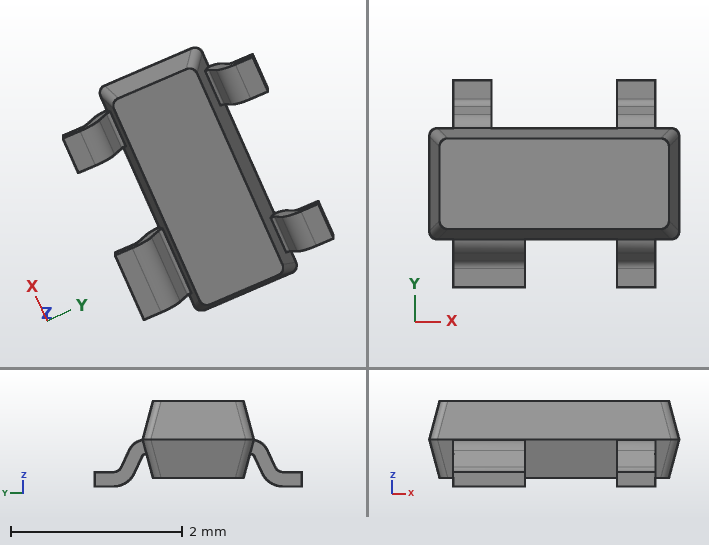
import cadquery as cq
import math

BODY_LENGTH = 2.92
BODY_WIDTH = 1.30
BODY_BOTTOM = 0.10
PARTING_HEIGHT = 0.55
BODY_TOP = 1.00
DRAFT_ANGLE = 15.0
CORNER_RADIUS = 0.10

LEAD_SPAN = 2.42
LEAD_THICKNESS = 0.17
FOOT_LENGTH = 0.22
BEND_ANGLE = 65.0
FOOT_BEND_RADIUS = 0.10
SHOULDER_BEND_RADIUS = 0.05
LEAD_EMBED_Y = 0.40
NARROW_LEAD = 0.45
WIDE_LEAD = 0.84
LEAD_OUTER_X = 1.18

LEFT, RIGHT = -1, 1
FRONT, BACK = -1, 1


def body_half(outer_height):
    """Tapered half running from the parting plane to its flat outer face."""
    depth = outer_height - PARTING_HEIGHT
    return (
        cq.Workplane("XY", origin=(0, 0, PARTING_HEIGHT))
        .rect(BODY_LENGTH, BODY_WIDTH)
        .extrude(depth, taper=DRAFT_ANGLE)
        .edges("not(|X or |Y)")
        .fillet(CORNER_RADIUS)
    )


def arc_point(center, radius, angle):
    """Point (y, z) on a bend, with the angle measured from +Z towards +Y."""
    turn = math.radians(angle)
    return (center[0] + radius * math.sin(turn), center[1] + radius * math.cos(turn))


def lead_profile():
    """Closed side outline of a lead on the +Y side, drawn in the YZ plane."""
    tip_y = LEAD_SPAN / 2
    foot_end_y = tip_y - FOOT_LENGTH
    foot_outer_radius = FOOT_BEND_RADIUS + LEAD_THICKNESS
    shoulder_outer_radius = SHOULDER_BEND_RADIUS + LEAD_THICKNESS
    shoulder_bottom = PARTING_HEIGHT - LEAD_THICKNESS

    foot_center = (foot_end_y, foot_outer_radius)
    slope_start = arc_point(foot_center, FOOT_BEND_RADIUS, 180 + BEND_ANGLE)
    shoulder_center_z = PARTING_HEIGHT - shoulder_outer_radius
    slope_top_z = arc_point((0, shoulder_center_z), shoulder_outer_radius, BEND_ANGLE)[1]
    slope_run = (slope_top_z - slope_start[1]) / math.tan(math.radians(BEND_ANGLE))
    shoulder_reach = shoulder_outer_radius * math.sin(math.radians(BEND_ANGLE))
    shoulder_y = slope_start[0] - slope_run - shoulder_reach
    shoulder_center = (shoulder_y, shoulder_center_z)

    def foot_bend(radius, share):
        return arc_point(foot_center, radius, 180 + share * BEND_ANGLE)

    def shoulder_bend(radius, share):
        return arc_point(shoulder_center, radius, share * BEND_ANGLE)

    return (
        cq.Workplane("YZ")
        .moveTo(tip_y, 0)
        .lineTo(tip_y, LEAD_THICKNESS)
        .lineTo(foot_end_y, LEAD_THICKNESS)
        .threePointArc(foot_bend(FOOT_BEND_RADIUS, 0.5), foot_bend(FOOT_BEND_RADIUS, 1))
        .lineTo(*shoulder_bend(shoulder_outer_radius, 1))
        .threePointArc(shoulder_bend(shoulder_outer_radius, 0.5), shoulder_bend(shoulder_outer_radius, 0))
        .lineTo(LEAD_EMBED_Y, PARTING_HEIGHT)
        .lineTo(LEAD_EMBED_Y, shoulder_bottom)
        .lineTo(*shoulder_bend(SHOULDER_BEND_RADIUS, 0))
        .threePointArc(shoulder_bend(SHOULDER_BEND_RADIUS, 0.5), shoulder_bend(SHOULDER_BEND_RADIUS, 1))
        .lineTo(*foot_bend(foot_outer_radius, 1))
        .threePointArc(foot_bend(foot_outer_radius, 0.5), foot_bend(foot_outer_radius, 0))
        .close()
    )


def lead(side_x, side_y, width):
    """Lead of the given width whose outer flank is flush with LEAD_OUTER_X."""
    center_x = side_x * (LEAD_OUTER_X - width / 2)
    blank = lead_profile().extrude(width / 2, both=True)
    if side_y == FRONT:
        blank = blank.mirror("XZ")
    return blank.translate((center_x, 0, 0))


result = body_half(BODY_TOP).union(body_half(BODY_BOTTOM))
for side_x, side_y, width in (
    (LEFT, FRONT, WIDE_LEAD),
    (RIGHT, FRONT, NARROW_LEAD),
    (LEFT, BACK, NARROW_LEAD),
    (RIGHT, BACK, NARROW_LEAD),
):
    result = result.union(lead(side_x, side_y, width))